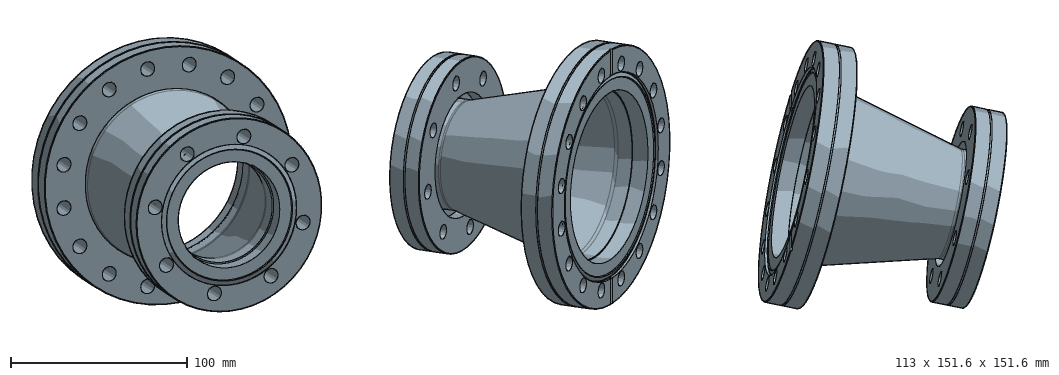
import cadquery as cq
import math


total_length = 113.0
bolt_hole_diameter = 8.5
rim_chamfer = 0.5
rim_groove_width = 1.0
rim_groove_depth = 0.2
knife_drop = 0.6
knife_rise = 0.9
knife_slant = 0.5

large_diameter = 151.6
large_thickness = 20.0
large_recess_diameter = 120.7
large_recess_depth = 1.7
large_knife_diameter = 115.2
large_bore_diameter = 99.6
large_socket_diameter = 101.9
large_socket_x = 11.0
large_bolt_circle = 130.2
large_bolt_count = 16
large_bolt_angle = 180 / large_bolt_count
large_slope_diameter = 119.8
leak_groove_width = 2.7
leak_groove_depth = 1.0

cone_large_outer = 101.5
cone_small_outer = 63.5
cone_wall = 1.7
large_bend_x = 19.9
large_bend_radius = 10.0
small_bend_x = 93.7
small_bend_radius = 5.0
cone_end_x = 103.1

ring_diameter = 82.5
ring_back_x = 100.8
ring_bore_diameter = 62.0
ring_socket_diameter = 64.0
ring_knife_diameter = 77.2

small_diameter = 113.5
small_back_x = 93.7
small_front_x = 112.5
small_bore_diameter = 72.5
small_seat_diameter = 82.6
small_bolt_circle = 92.2
small_bolt_count = 8
small_bolt_angle = 0
small_flange_turn = -90 / small_bolt_count


def revolve_about_x(profile):
    """Turn a closed (x, radius) outline around the X axis."""
    return profile.close().revolve(360, (0, 0, 0), (1, 0, 0))


def cylinder(diameter, x_start, x_end):
    return cq.Workplane("YZ", origin=(x_start, 0, 0)).circle(diameter / 2).extrude(x_end - x_start)


def flange_blank(diameter, x_start, x_end):
    """Disc with both rims chamfered and a shallow groove around the middle of its edge."""
    disc = cylinder(diameter, x_start, x_end).edges().chamfer(rim_chamfer)
    groove_start = (x_start + x_end - rim_groove_width) / 2
    groove_end = groove_start + rim_groove_width
    groove_floor = cylinder(diameter - 2 * rim_groove_depth, groove_start, groove_end)
    groove = cylinder(diameter, groove_start, groove_end).cut(groove_floor)
    return disc.cut(groove)


def bolt_holes(circle_diameter, count, first_angle, x_start, x_end):
    """Evenly spaced holes, the first at an angle from the Y axis."""
    return (
        cq.Workplane("YZ", origin=(x_start, 0, 0))
        .polarArray(circle_diameter / 2, first_angle, 360, count)
        .circle(bolt_hole_diameter / 2)
        .extrude(x_end - x_start)
    )


def leak_groove(side):
    """Shallow round-bottomed groove from the recess to the rim, on the +Z or -Z side."""
    half_width = leak_groove_width / 2
    return (
        cq.Workplane("XY", origin=(0, 0, side * large_recess_diameter / 2))
        .moveTo(0, -half_width)
        .threePointArc((leak_groove_depth, 0), (0, half_width))
        .close()
        .extrude(side * (large_diameter - large_recess_diameter) / 2)
    )


def make_large_flange():
    flange = flange_blank(large_diameter, 0, large_thickness)
    knife_tip_x = large_recess_depth - knife_rise
    recess = revolve_about_x(
        cq.Workplane("XY")
        .moveTo(0, 0)
        .lineTo(0, large_recess_diameter / 2)
        .lineTo(large_recess_depth, large_recess_diameter / 2)
        .lineTo(large_recess_depth, large_slope_diameter / 2)
        .lineTo(knife_tip_x, large_knife_diameter / 2)
        .lineTo(knife_tip_x + knife_drop, large_knife_diameter / 2 - knife_slant)
        .lineTo(knife_tip_x + knife_drop, 0)
    )
    flange = flange.cut(recess)
    flange = flange.cut(cylinder(large_bore_diameter, 0, large_thickness))
    flange = flange.cut(cylinder(large_socket_diameter, large_socket_x, large_thickness))
    flange = flange.cut(bolt_holes(large_bolt_circle, large_bolt_count, large_bolt_angle, 0, large_thickness))
    for side in (1, -1):
        flange = flange.cut(leak_groove(side))
    return flange


def cone_solid(wall_depth):
    """Solid of revolution bounded by the cone's surface at a depth below its outside."""
    convex_radius = large_bend_radius - wall_depth
    concave_radius = small_bend_radius + wall_depth
    large_centre = (large_bend_x, cone_large_outer / 2 - large_bend_radius)
    small_centre = (small_bend_x, cone_small_outer / 2 + small_bend_radius)

    run = small_centre[0] - large_centre[0]
    rise = small_centre[1] - large_centre[1]
    slope = math.asin((convex_radius + concave_radius) / math.hypot(run, rise)) - math.atan2(rise, run)

    def on_convex_bend(angle):
        return (
            large_centre[0] + convex_radius * math.sin(angle),
            large_centre[1] + convex_radius * math.cos(angle),
        )

    def on_concave_bend(angle):
        return (
            small_centre[0] - concave_radius * math.sin(angle),
            small_centre[1] - concave_radius * math.cos(angle),
        )

    return revolve_about_x(
        cq.Workplane("XY")
        .moveTo(large_socket_x, 0)
        .lineTo(large_socket_x, cone_large_outer / 2 - wall_depth)
        .lineTo(*on_convex_bend(0))
        .threePointArc(on_convex_bend(slope / 2), on_convex_bend(slope))
        .lineTo(*on_concave_bend(slope))
        .threePointArc(on_concave_bend(slope / 2), on_concave_bend(0))
        .lineTo(cone_end_x, cone_small_outer / 2 - wall_depth)
        .lineTo(cone_end_x, 0)
    )


def make_cone():
    return cone_solid(0).cut(cone_solid(cone_wall))


def make_ring():
    """Ring with a knife edge at the front and a socket for the cone at the back."""
    floor_x = total_length - knife_drop
    return revolve_about_x(
        cq.Workplane("XY")
        .moveTo(ring_back_x, ring_socket_diameter / 2)
        .lineTo(ring_back_x, ring_diameter / 2)
        .lineTo(total_length - knife_rise, ring_diameter / 2)
        .lineTo(total_length, ring_knife_diameter / 2)
        .lineTo(floor_x, ring_knife_diameter / 2 - knife_slant)
        .lineTo(floor_x, ring_bore_diameter / 2)
        .lineTo(cone_end_x, ring_bore_diameter / 2)
        .lineTo(cone_end_x, ring_socket_diameter / 2)
    )


def make_small_flange():
    flange = flange_blank(small_diameter, small_back_x, small_front_x)
    flange = flange.cut(cylinder(small_bore_diameter, small_back_x, small_front_x))
    flange = flange.cut(cylinder(small_seat_diameter, ring_back_x, small_front_x))
    holes = bolt_holes(small_bolt_circle, small_bolt_count, small_bolt_angle, small_back_x, small_front_x)
    flange = flange.cut(holes)
    return flange.rotate((0, 0, 0), (1, 0, 0), small_flange_turn)


large_flange = make_large_flange()
cone = make_cone()
ring = make_ring()
small_flange = make_small_flange()

result = cq.Compound.makeCompound(
    [large_flange.val(), cone.val(), ring.val(), small_flange.val()]
)